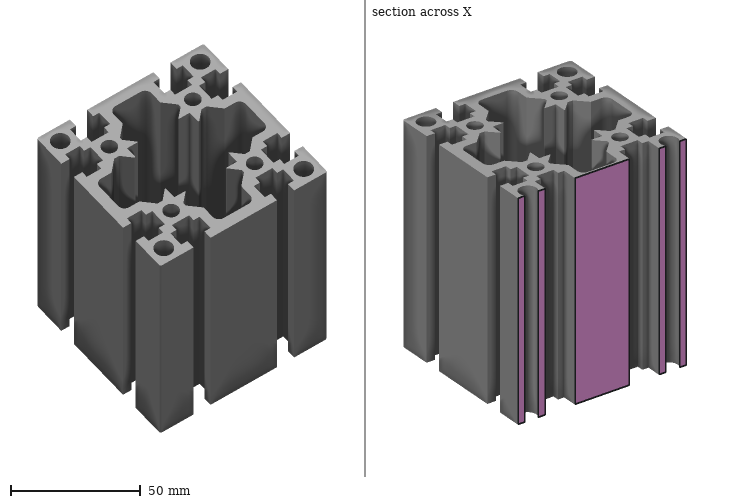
import cadquery as cq

side = 80.0
length = 100.0
corner_radius = 1.0
half_side = side / 2

slot_offset = 20.0
slot_opening = 8.2
slot_inner_width = 14.0
slot_lip = 4.0
slot_inner_depth = 11.0
slot_total_depth = 14.0

corner_bore_diameter = 8.0
corner_bore_inset = 6.5
core_bore_diameter = 6.8
core_bore_offset = slot_offset

outer_wall = 5.0
arm_half_width = 9.0
arm_corner_radius = 3.0
arm_reach = half_side - outer_wall
notch_floor_offset = 14.0

x_arm_bevel_start = 26.2
x_arm_rib_tip = 9.8
x_arm_rib_slope_start = 15.6
x_arm_rib_base = 15.3

y_arm_bevel_start = 27.1
y_arm_rib_tip = 9.8
y_arm_rib_slope_start = 15.5
y_arm_rib_base = 15.0


def rectangle(width, height, center_x=0, center_y=0):
    return cq.Workplane("XY").center(center_x, center_y).rect(width, height).extrude(length)


def slot_cutter(center_x):
    """Stepped T-slot opening on the +Y face."""
    groove = rectangle(slot_opening, slot_total_depth, center_x, half_side - slot_total_depth / 2)
    chamber_height = slot_inner_depth - slot_lip
    chamber_y = half_side - (slot_lip + slot_inner_depth) / 2
    return groove.union(rectangle(slot_inner_width, chamber_height, center_x, chamber_y))


def arm_cutter(bevel_start, rib_tip, rib_slope_start):
    """Cavity arm reaching from the profile axis toward +Y."""
    floor_start = rib_slope_start + (notch_floor_offset - rib_tip)
    floor_end = bevel_start - (notch_floor_offset - arm_half_width)
    right_side = [
        (rib_tip, 0),
        (rib_tip, rib_slope_start),
        (notch_floor_offset, floor_start),
        (notch_floor_offset, floor_end),
        (arm_half_width, bevel_start),
        (arm_half_width, arm_reach),
    ]
    left_side = [(-x, y) for x, y in reversed(right_side)]
    arm = cq.Workplane("XY").polyline(right_side + left_side).close().extrude(length)
    return arm.edges("|Z").edges(">Y").fillet(arm_corner_radius)


def bores(diameter, offset):
    centers = [(x, y) for x in (-offset, offset) for y in (-offset, offset)]
    return cq.Workplane("XY").pushPoints(centers).circle(diameter / 2).extrude(length)


def turned(cutter, angle):
    return cutter.rotate((0, 0, 0), (0, 0, 1), angle)


body = rectangle(side, side).edges("|Z").fillet(corner_radius)

body = body.cut(rectangle(2 * x_arm_rib_base, 2 * y_arm_rib_base))

x_arm = arm_cutter(x_arm_bevel_start, x_arm_rib_tip, x_arm_rib_slope_start)
y_arm = arm_cutter(y_arm_bevel_start, y_arm_rib_tip, y_arm_rib_slope_start)
slot_pair = slot_cutter(-slot_offset).union(slot_cutter(slot_offset))
for angle, arm in ((0, y_arm), (90, x_arm), (180, y_arm), (270, x_arm)):
    body = body.cut(turned(arm, angle)).cut(turned(slot_pair, angle))

body = body.cut(bores(corner_bore_diameter, half_side - corner_bore_inset))
result = body.cut(bores(core_bore_diameter, core_bore_offset))